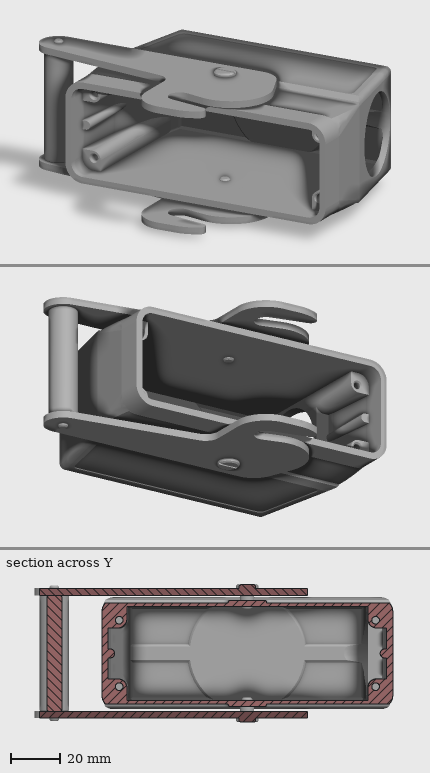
import cadquery as cq
import math


wall = 2.8
hood_length = 76.0
collar_length = 11.4
collar_half_width = 60.0
collar_half_height = 21.6
collar_corner = 7.9
shoulder_y = 32.5
shoulder_half_width = 57.8
body_half_width_back = 48.9
body_half_height = 22.6
body_corner = 2.6
back_fillet = 2.0

flank_ramp_y = 37.0
flank_recess_depth = 1.0
flank_recess_draft = 25
flank_recess_corner = 2.2
bridge_half_width = 7.5
panel_back_y = 71.0
panel_inset = 4.8
panel_corner = 2.6
panel_depth = 0.5

floor_y = 71.2
pocket_depth = 1.0
pocket_draft = 45
pocket_half_length = 47.3
floor_disc_radius = 23.2
floor_rib_half_width = 2.8
post_front_y = 9.0
post_draft = 0.7
post_inner_x = 48.8
post_inner_z = 10.4
post_corner = 3.5
post_hole_x = 51.8
post_hole_z = 13.5
post_hole_radius = 1.5
post_hole_depth = 14.6
post_hole_chamfer = 0.6
guide_radius = 1.9
guide_x = 55.5
guide_end_y = 40.9
pad_front_y = 35.2
pad_x = 48.8
cable_hole_radius = 17.5
cable_hole_y = 55.3
cable_hole_inner_reach = 14.6
cable_hole_length = 43.8

pivot_y = 24.8
plate_inner_z = 23.4
plate_outer_z = 26.3
rod_x = -78.0
rod_y = 27.0
rod_radius = 6.0
rod_chamfer = 0.3
rod_end_radius = 8.0
tenon_side = 4.0
rivet_tip_z = 27.5
rivet_chamfer = 0.6
head_radius = 4.5
head_top_z = 27.9
head_chamfer = 0.6
slot_width = 0.9
slot_depth = 0.9
shank_radius = 2.85
thread_radius = 2.2
thread_end_z = 18.0
thread_chamfer = 0.6

side_slope = (shoulder_half_width - body_half_width_back) / (hood_length - shoulder_y)
inner_half_height = collar_half_height - wall
sharp_corner = 0.7


def body_half_width(y):
    """Half width of the tapered body at depth y."""
    return shoulder_half_width - side_slope * (y - shoulder_y)


def facing_back(y):
    """Workplane at depth y whose local x is +X, local y is -Z and normal is +Y."""
    return cq.Workplane(cq.Plane(origin=(0, y, 0), xDir=(1, 0, 0), normal=(0, 1, 0)))


def rounded_rectangle(half_width, half_height, corner):
    return cq.Sketch().rect(2 * half_width, 2 * half_height).vertices().fillet(corner)


def straight_block(y1, y2, half_width, half_height, corner):
    """Rounded rectangular bar between two depths."""
    return facing_back(y1).placeSketch(rounded_rectangle(half_width, half_height, corner)).extrude(y2 - y1)


def ruled_block(y1, half_width1, half_height1, corner1, y2, half_width2, half_height2, corner2):
    """Straight-sided transition between two rounded rectangles at depths y1 and y2."""
    first = rounded_rectangle(half_width1, half_height1, corner1)
    second = rounded_rectangle(half_width2, half_height2, corner2)
    second = second.moved(cq.Location(cq.Vector(0, 0, y2 - y1)))
    return facing_back(y1).placeSketch(first, second).loft(ruled=True)


def hood_envelope():
    """Outer shape: straight collar, shoulder that blends the corner radii, tapered body."""
    collar = straight_block(0, collar_length, collar_half_width, collar_half_height, collar_corner)
    shoulder = ruled_block(
        collar_length, collar_half_width, collar_half_height, collar_corner,
        shoulder_y, shoulder_half_width, body_half_height, body_corner,
    )
    body = ruled_block(
        shoulder_y, shoulder_half_width, body_half_height, body_corner,
        hood_length, body_half_width_back, body_half_height, body_corner,
    ).faces(">Y").edges().fillet(back_fillet)
    return collar.union(shoulder).union(body)


def hood_cavity():
    """Inside of the shell, one wall thickness within the envelope."""
    corner = collar_corner - wall
    mouth = straight_block(0, collar_length, collar_half_width - wall, inner_half_height, corner)
    throat = ruled_block(
        collar_length, collar_half_width - wall, inner_half_height, corner,
        shoulder_y, shoulder_half_width - wall, inner_half_height, sharp_corner,
    )
    chamber = ruled_block(
        shoulder_y, shoulder_half_width - wall, inner_half_height, sharp_corner,
        floor_y, body_half_width(floor_y) - wall, inner_half_height, sharp_corner,
    )
    return mouth.union(throat).union(chamber)


def on_both_faces(tool):
    """The tool made for the +Z face, together with its mirror image on the -Z face."""
    return tool.union(tool.mirror("XY"))


def flank_cut():
    """Lowers the shoulder to the height of the collar, with a ramp that rises to the body."""
    profile = [
        (collar_length, collar_half_height),
        (shoulder_y, collar_half_height),
        (flank_ramp_y, body_half_height),
        (collar_length, body_half_height),
    ]
    return cq.Workplane("YZ").polyline(profile).close().extrude(collar_half_width, both=True)


def flank_recesses():
    """Recesses left and right of the bridge that carries the pivot, open at the ends of the hood."""
    span = shoulder_y - collar_length
    center_x = bridge_half_width + collar_half_width / 2
    outline = rounded_rectangle(collar_half_width / 2, span / 2, flank_recess_corner)
    recess = (
        cq.Workplane("XY", origin=(center_x, collar_length + span / 2, collar_half_height))
        .placeSketch(outline)
        .extrude(-flank_recess_depth, taper=flank_recess_draft)
    )
    return recess.union(recess.mirror("YZ"))


def label_panel():
    """Shallow recess with rounded corners on the tapered face."""
    front = body_half_width(flank_ramp_y) - panel_inset
    back = body_half_width(panel_back_y) - panel_inset
    outline = [(-front, flank_ramp_y), (front, flank_ramp_y), (back, panel_back_y), (-back, panel_back_y)]
    return (
        cq.Workplane("XY", origin=(0, 0, body_half_height - panel_depth))
        .polyline(outline).close()
        .extrude(1.5)
        .edges("|Z").fillet(panel_corner)
    )


def floor_pockets():
    """Four drafted pockets in the floor around the central disc and the rib."""
    inner_x_rib = math.sqrt(floor_disc_radius**2 - floor_rib_half_width**2)
    inner_x_wall = math.sqrt(floor_disc_radius**2 - inner_half_height**2)
    middle = floor_disc_radius * math.sqrt(0.5)
    pocket = (
        facing_back(floor_y)
        .moveTo(inner_x_rib, floor_rib_half_width)
        .lineTo(pocket_half_length, floor_rib_half_width)
        .lineTo(pocket_half_length, inner_half_height)
        .lineTo(inner_x_wall, inner_half_height)
        .threePointArc((middle, middle), (inner_x_rib, floor_rib_half_width))
        .close()
        .extrude(pocket_depth, taper=pocket_draft)
    )
    pockets = on_both_faces(pocket)
    return pockets.union(pockets.mirror("YZ"))


def posts():
    """Drafted screw post in each corner, running from near the mouth to the floor."""
    half_width = (collar_half_width - post_inner_x) / 2 + post_corner
    half_height = (collar_half_height - post_inner_z) / 2 + post_corner
    post = (
        facing_back(post_front_y)
        .center(post_inner_x + half_width, post_inner_z + half_height)
        .placeSketch(rounded_rectangle(half_width, half_height, post_corner))
        .extrude(floor_y - post_front_y, taper=-post_draft)
    )
    pair = on_both_faces(post)
    return pair.union(pair.mirror("YZ"))


def post_holes():
    """Blind screw hole with a chamfered rim in each post."""
    centers = [(x, z) for x in (-post_hole_x, post_hole_x) for z in (-post_hole_z, post_hole_z)]
    holes = facing_back(post_front_y).pushPoints(centers).circle(post_hole_radius).extrude(post_hole_depth)
    rim = post_hole_radius + post_hole_chamfer
    sinks = facing_back(post_front_y).pushPoints(centers).circle(rim).extrude(post_hole_chamfer, taper=45)
    return holes.union(sinks)


def guides():
    """Half-round guide rib in the middle of each end wall."""
    guide = facing_back(post_front_y).center(guide_x, 0).circle(guide_radius)
    guide = guide.extrude(guide_end_y - post_front_y)
    root = facing_back(post_front_y).center((guide_x + collar_half_width) / 2, 0)
    root = root.rect(collar_half_width - guide_x, 2 * guide_radius).extrude(guide_end_y - post_front_y)
    guide = guide.union(root)
    return guide.union(guide.mirror("YZ"))


def cable_pad():
    """Thickened +X wall around the cable hole."""
    width = collar_half_width - pad_x
    pad = facing_back(pad_front_y).center(pad_x + width / 2, 0).rect(width, 2 * inner_half_height)
    return pad.extrude(floor_y - pad_front_y)


def cable_hole():
    """Cable entry square to the tapered +X wall, cut from outside to where it runs out in the floor."""
    outward = cq.Vector(1, side_slope, 0).normalized()
    start = cq.Vector(pad_x, cable_hole_y, 0) - outward * cable_hole_inner_reach
    plane = cq.Plane(origin=start.toTuple(), xDir=(0, 0, 1), normal=outward.toTuple())
    return cq.Workplane(plane).circle(cable_hole_radius).extrude(cable_hole_length)


def make_hood():
    envelope = hood_envelope()
    inside = posts().union(guides()).union(cable_pad()).intersect(envelope)
    hood = envelope.cut(hood_cavity()).cut(floor_pockets()).union(inside)
    hood = hood.cut(cable_hole()).cut(post_holes())
    for tool in (flank_cut(), flank_recesses(), label_panel()):
        hood = hood.cut(on_both_faces(tool))
    threads = cq.Workplane("XY").center(0, pivot_y).circle(thread_radius).extrude(body_half_height, both=True)
    return hood.cut(threads)


def tangent_outline(rounds):
    """Closed wire round a chain of (x, y, radius) circles, counter-clockwise, joined by tangent lines.

    A negative radius is a concave round.
    """
    count = len(rounds)
    leave = []
    arrive = [None] * count
    for i in range(count):
        x1, y1, r1 = rounds[i]
        x2, y2, r2 = rounds[(i + 1) % count]
        toward = math.atan2(y2 - y1, x2 - x1)
        normal = toward + math.acos((r2 - r1) / math.hypot(x2 - x1, y2 - y1))
        nx = math.cos(normal)
        ny = math.sin(normal)
        leave.append((x1 - r1 * nx, y1 - r1 * ny))
        arrive[(i + 1) % count] = (x2 - r2 * nx, y2 - r2 * ny)
    outline = cq.Workplane("XY", origin=(0, 0, plate_inner_z)).moveTo(*leave[-1])
    for (x, y, r), start, end in zip(rounds, arrive, leave):
        first = math.atan2(start[1] - y, start[0] - x)
        last = math.atan2(end[1] - y, end[0] - x)
        turn = math.copysign(1, r)
        middle = first + turn * (turn * (last - first) % (2 * math.pi)) / 2
        apex = (x + abs(r) * math.cos(middle), y + abs(r) * math.sin(middle))
        outline = outline.lineTo(*start).threePointArc(apex, end)
    return outline.close()


def plate_blank():
    """Hook plate of the lever on the +Z side, without its holes."""
    rounds = [
        (rod_x, rod_y, rod_end_radius),
        (-23.5, 5.3, -6.0),
        (-4.4, -10.1, 13.1),
        (3.6, -5.7, 17.5),
        (11.8, -18.2, 2.6),
        (-2.9, -7.9, -4.8),
        (10.0, 11.8, 17.2),
        (11.7, 24.1, 11.0),
    ]
    return tangent_outline(rounds).extrude(plate_outer_z - plate_inner_z)


def pivot_screw():
    """Slotted head, shank and threaded tip on the pivot axis of the +Z plate."""
    base = cq.Workplane("XY").center(0, pivot_y)
    head = base.workplane(offset=plate_outer_z).circle(head_radius).extrude(head_top_z - plate_outer_z)
    head = head.faces(">Z").chamfer(head_chamfer)
    shank = base.workplane(offset=collar_half_height).circle(shank_radius)
    shank = shank.extrude(plate_outer_z - collar_half_height)
    tip = base.workplane(offset=thread_end_z).circle(thread_radius)
    tip = tip.extrude(collar_half_height - thread_end_z).faces("<Z").chamfer(thread_chamfer)
    slot = base.workplane(offset=head_top_z - slot_depth).rect(2 * head_radius, slot_width).extrude(slot_depth)
    return tip.union(shank).union(head).cut(slot)


def square_tenon(z1, z2):
    """Square bar on the rod axis between two heights."""
    return cq.Workplane("XY", origin=(rod_x, rod_y, z1)).rect(tenon_side, tenon_side).extrude(z2 - z1)


def make_lever_plate(side):
    """Plate with its pivot screw, for the +Z (side = 1) or the -Z (side = -1) face of the hood."""
    plate = plate_blank().union(pivot_screw()).cut(square_tenon(plate_inner_z, plate_outer_z))
    return plate if side > 0 else plate.mirror("XY")


def make_rod():
    """Handle rod whose square tenons fill the plates and end in round rivets."""
    grip = cq.Workplane("XY", origin=(rod_x, rod_y, -plate_inner_z)).circle(rod_radius).extrude(2 * plate_inner_z)
    grip = grip.faces("<Z or >Z").chamfer(rod_chamfer)
    rivet = cq.Workplane("XY", origin=(rod_x, rod_y, -rivet_tip_z)).circle(tenon_side / 2)
    rivet = rivet.extrude(2 * rivet_tip_z).faces("<Z or >Z").chamfer(rivet_chamfer)
    return grip.union(square_tenon(-plate_outer_z, plate_outer_z)).union(rivet)


hood = make_hood()
lever_plates = [make_lever_plate(side) for side in (1, -1)]
rod = make_rod()

result = cq.Compound.makeCompound([hood.val(), *[plate.val() for plate in lever_plates], rod.val()])